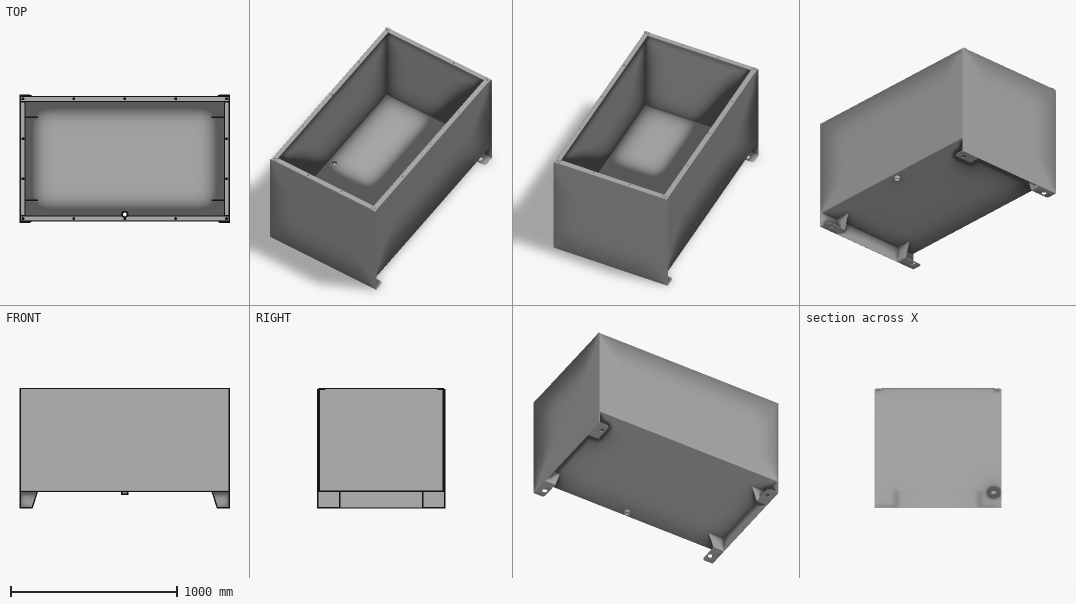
import cadquery as cq

LENGTH = 1260.0
WIDTH = 765.0
HEIGHT = 720.0

SHEET = 3.0
RIM_BEND_RADIUS = 5.7
FLOOR_BEND_RADIUS = 8.0

TANK_WIDTH = 751.0
FLOOR_Z = 98.0
SIDE_FLANGE = 30.0
END_FLANGE = 30.0
FLANGE_GAP = 3.0
FLANGE_INNER_Y = TANK_WIDTH / 2 - SIDE_FLANGE

RIM_HOLE = 8.5
RIM_RECESS = 10.5
RIM_RECESS_DEPTH = 0.6
RIM_X = 612.0
RIM_Y = 360.0
RIM_BAYS_X = 4
RIM_BAYS_Y = 3

FOOT_DEPTH = 73.0
FOOT_CORNER_RADIUS = 19.0
FOOT_HOLE = 30.0
FOOT_HOLE_X = 582.0
FOOT_HOLE_Y = 330.0
GUSSET_Y = 251.0
GUSSET_TOP_DEPTH = 105.0

DRAIN_Y = -335.0
DRAIN_BORE = 30.0
DRAIN_DIAMETER = 38.0
DRAIN_LENGTH = 16.0


def block(x_range, y_range, z_range):
    """Box between two limits on each axis."""
    (x0, x1), (y0, y1), (z0, z1) = x_range, y_range, z_range
    return cq.Workplane("XY").box(x1 - x0, y1 - y0, z1 - z0, centered=False).translate((x0, y0, z0))


def both_ends(body):
    """The +X end piece together with its mirror image at -X."""
    return body.union(body.mirror("YZ"))


def both_sides(body):
    """The +Y piece together with its mirror image at -Y."""
    return body.union(body.mirror("XZ"))


def round_bends(body, rim_radius, floor_radius):
    """Round the long edges of a channel block at its rim and at its floor."""
    return body.edges("|X and >Z").fillet(rim_radius).edges("|X and <Z").fillet(floor_radius)


def tank_channel():
    """Floor, front and back walls and inward rim flanges, folded from one sheet."""
    half_x = LENGTH / 2
    half_y = TANK_WIDTH / 2
    inner_y = half_y - SHEET
    outer = block((-half_x, half_x), (-half_y, half_y), (FLOOR_Z, HEIGHT))
    outer = round_bends(outer, RIM_BEND_RADIUS, FLOOR_BEND_RADIUS)
    cavity = block((-half_x, half_x), (-inner_y, inner_y), (FLOOR_Z + SHEET, HEIGHT - SHEET))
    cavity = round_bends(cavity, RIM_BEND_RADIUS - SHEET, FLOOR_BEND_RADIUS - SHEET)
    opening = block((-half_x, half_x), (-FLANGE_INNER_Y, FLANGE_INNER_Y), (HEIGHT - 2 * SHEET, HEIGHT))
    return outer.cut(cavity).cut(opening)


def end_plate():
    """Full-width end wall at +X, running down as a skirt, with a rim flange folded inward."""
    outer_x = LENGTH / 2
    inner_x = outer_x - SHEET
    flange_x = outer_x - END_FLANGE
    flange_half = FLANGE_INNER_Y - FLANGE_GAP
    shoulder_z = HEIGHT - RIM_BEND_RADIUS
    folded = (
        block((flange_x, outer_x), (-flange_half, flange_half), (0, HEIGHT))
        .edges("|Y and >X and >Z").fillet(RIM_BEND_RADIUS)
    )
    hollow = (
        block((flange_x, inner_x), (-flange_half, flange_half), (0, HEIGHT - SHEET))
        .edges("|Y and >X and >Z").fillet(RIM_BEND_RADIUS - SHEET)
    )
    plate = block((inner_x, outer_x), (-WIDTH / 2, WIDTH / 2), (0, shoulder_z))
    return folded.cut(hollow).union(plate)


def foot():
    """Inward foot at the +X, +Y corner with a rounded corner and an anchor hole."""
    outer_x = LENGTH / 2
    plate = block((outer_x - FOOT_DEPTH, outer_x), (GUSSET_Y, WIDTH / 2), (0, SHEET))
    plate = plate.edges("|Z and <X and >Y").fillet(FOOT_CORNER_RADIUS)
    hole = cq.Workplane("XY").center(FOOT_HOLE_X, FOOT_HOLE_Y).circle(FOOT_HOLE / 2).extrude(SHEET)
    return plate.cut(hole)


def gusset():
    """Tapered upright between the floor and the inner edge of the +X, +Y foot."""
    inner_x = LENGTH / 2 - SHEET
    return (
        cq.Workplane("XZ", origin=(0, GUSSET_Y + SHEET / 2, 0))
        .moveTo(inner_x, 0)
        .lineTo(LENGTH / 2 - FOOT_DEPTH, 0)
        .lineTo(LENGTH / 2 - GUSSET_TOP_DEPTH, FLOOR_Z)
        .lineTo(inner_x, FLOOR_Z)
        .close()
        .extrude(SHEET)
    )


def rim_points():
    """Evenly spaced hole centres around the rim, each corner counted once."""
    pitch_x = 2 * RIM_X / RIM_BAYS_X
    pitch_y = 2 * RIM_Y / RIM_BAYS_Y
    sides = [(-RIM_X + i * pitch_x, y) for i in range(RIM_BAYS_X + 1) for y in (-RIM_Y, RIM_Y)]
    ends = [(x, -RIM_Y + j * pitch_y) for j in range(1, RIM_BAYS_Y) for x in (-RIM_X, RIM_X)]
    return sides + ends


def rim_holes():
    """Through holes in the rim flanges, each with a shallow recess on top."""
    top = cq.Workplane("XY", origin=(0, 0, HEIGHT)).pushPoints(rim_points())
    holes = top.circle(RIM_HOLE / 2).extrude(-SHEET)
    recesses = top.circle(RIM_RECESS / 2).extrude(-RIM_RECESS_DEPTH)
    return holes.union(recesses)


def drain_spout():
    """Short spout under the floor."""
    return (
        cq.Workplane("XY", origin=(0, DRAIN_Y, FLOOR_Z))
        .circle(DRAIN_DIAMETER / 2)
        .extrude(-DRAIN_LENGTH)
    )


def drain_bore():
    """Bore through the spout and floor, carried up to clear the edge of the front rim flange."""
    spout_bottom = FLOOR_Z - DRAIN_LENGTH
    return (
        cq.Workplane("XY", origin=(0, DRAIN_Y, spout_bottom))
        .circle(DRAIN_BORE / 2)
        .extrude(HEIGHT - spout_bottom)
    )


end = end_plate().union(both_sides(foot().union(gusset())))
result = tank_channel().union(both_ends(end)).union(drain_spout())
result = result.cut(drain_bore()).cut(rim_holes())